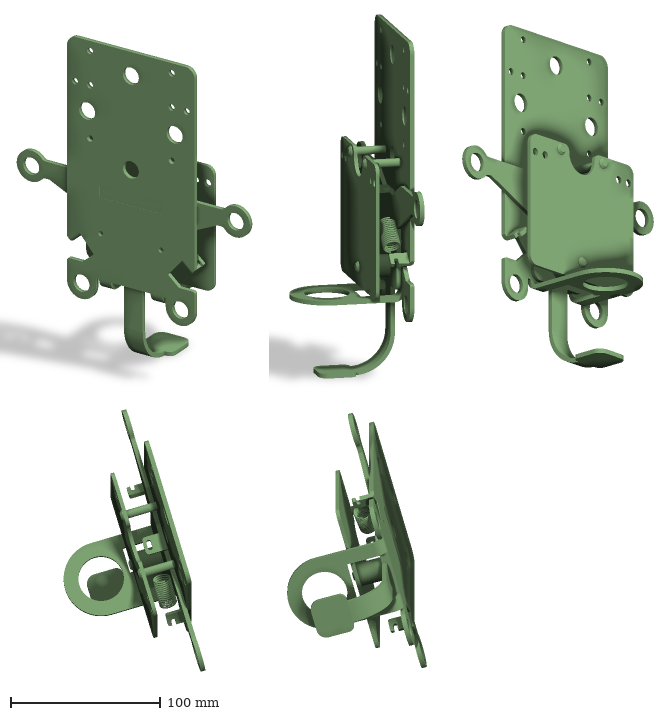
import cadquery as cq
import math

total_height = 235
sheet = 3.0
overlap = 0.2
fold_radius = sheet - overlap

plate_half_width = 50.8
plate_bottom = 60.0
plate_corner_radius = 7.5
eye_radius = 11.5
mount_hole_radius = 6.3
foot_eye_x = plate_half_width - eye_radius
foot_eye_z = 53.5
hole_pattern_z = 182.5
hole_pattern_radius = 34.8
screw_hole_radius = 2.4
screw_holes = [(32.5, 227.5), (32.5, 202.2), (44.5, 202.2), (32.5, 162.7)]
pilot_hole_radius = 1.9
pilot_hole_x = 24.0
pilot_hole_z = 94.3
label_width, label_height, label_z = 50.3, 9.0, 125.5
label_depth = 0.12
label_corner_radius = 0.7

bracket_half_width = 25.2
bracket_bottom = 52.7
bracket_end = 73.3
ring_hole_radius = 15.3
window_half_width = 15.7
window_end = 28.5

tab_angle = 41
tab_length = 10.5
tab_inset = 1.6
tab_fold_width = 4.7
tab_inner_x, tab_inner_z = 39.5, 89.0
tab_corner_radius = 1.2
tab_depth = 15.7
tab_slot_depth_position = 11.8
tab_slot_radius = 1.5
tab_slot_length = 4.7
relief_length = 20.0
relief_bottom = 69.8
relief_edge_radius = 1.9

arm_eye_x = 185.5 / 2 - eye_radius
arm_eye_z = 128.5
arm_top = 135.0
arm_bottom = 122.2
arm_slope = 0.467
arm_top_bend_x = 36.7
arm_bottom_bend_x = 66.8
arm_centre_x = 12.5
arm_eye_fillet = 3.5
body_half_width = 25.2
body_corner_radius = 7.0
tongue_half_width = 7.5
hook_radius = 28.0
foot_half_width = 13.5
foot_start, foot_end = 30.3, 55.7
foot_rear_radius, foot_front_radius = 6.5, 4.5

lip_half_width = 6.0
lip_top = 127.0
lip_end = 18.0
lip_corner_radius = 2.0
lip_slot_length, lip_slot_width = 7.0, 3.3
lip_slot_position = 14.3

rear_thickness = 2.5
rear_corner_radius = 6.3
rear_start = 24.0
rear_bottom, rear_top = 60.0, 152.5
rear_notch_radius = 12.5
rear_notch_z = 147.5
rear_notch_fillet = 4.7
rear_hole_radius = 2.5
rear_holes = [(36.2, 139.9), (45.8, 139.9)]
pin_x, pin_z, pin_radius = 20.7, 147.6, 2.8
boss_z, boss_radius = 72.6, 7.8
rivet_radius, rivet_height, rivet_edge = 3.8, 1.9, 1.5

spring_radius = 5.52
wire_radius = 0.59
spring_pitch = 1.53
spring_length = 20.7
spring_angle = 40
spring_x, spring_z = -28.2, 99.7

middle_front = sheet
middle_rear = 2 * sheet


def front_plane(depth):
    """Workplane with local X, Y along the part's X, Z; a negative extrude goes rearwards."""
    return cq.Workplane("XZ", origin=(0, depth, 0))


def disc(x, z, radius, start, end):
    return front_plane(start).center(x, z).circle(radius).extrude(start - end)


def box(x_range, y_range, z_range):
    lows, highs = zip(x_range, y_range, z_range)
    size = [high - low for low, high in zip(lows, highs)]
    return cq.Workplane("XY").box(*size, centered=False).translate(lows)


def both_sides(solid):
    return solid.union(solid.mirror("YZ"))


def edges_near(x, z):
    """Selector for the edges through (x, z) and its mirror point."""
    boxes = [
        cq.selectors.BoxSelector((side * x - overlap, 0, z - overlap),
                                 (side * x + overlap, bracket_end, z + overlap))
        for side in (-1, 1)
    ]
    return boxes[0] + boxes[1]


def make_relief():
    """Cut-out below the left spring tab, open to the plate's side."""
    angle = math.radians(tab_angle)
    along = (math.cos(angle), math.sin(angle))
    away = (math.sin(angle), -math.cos(angle))
    inner = (-tab_inner_x - tab_fold_width * away[0], tab_inner_z - tab_fold_width * away[1])
    outer = (inner[0] - tab_length * along[0], inner[1] - tab_length * along[1])
    far = (inner[0] + relief_length * away[0], inner[1] + relief_length * away[1])
    drop = far[1] - relief_bottom
    floor = (far[0] - drop / math.tan(angle), relief_bottom)
    outside = -plate_half_width - overlap
    outline = [inner, far, floor, (outside, relief_bottom), (outside, outer[1]), outer]
    return front_plane(0).polyline(outline).close().extrude(-sheet)


def make_spring_tab():
    """Left spring tab: folded edge at the front, slot open at its outer end."""
    tab = (
        cq.Workplane("XY")
        .box(tab_length, tab_depth, sheet, centered=False)
        .edges("|X and <Y and <Z").fillet(fold_radius)
    )
    inner_step = cq.Workplane("XY").box(tab_inset, tab_depth, sheet, centered=False)
    fold_fill = cq.Workplane("XY").box(tab_length, sheet, tab_fold_width - sheet, centered=False)
    tab = tab.cut(inner_step.translate((tab_length - tab_inset, sheet, 0)))
    tab = tab.union(fold_fill.translate((0, 0, sheet)))
    tab = tab.edges("|Z and >Y").fillet(tab_corner_radius)
    slot = (
        cq.Workplane("XY", origin=(0, tab_slot_depth_position, 0))
        .slot2D(2 * tab_slot_length, 2 * tab_slot_radius)
        .extrude(sheet)
    )
    return (
        tab.cut(slot)
        .translate((-tab_length, 0, 0))
        .rotate((0, 0, 0), (0, 1, 0), -tab_angle)
        .translate((-tab_inner_x, 0, tab_inner_z))
    )


def make_front_plate():
    plate = (
        box((-plate_half_width, plate_half_width), (0, sheet), (plate_bottom, total_height))
        .edges("|Y and >Z").fillet(plate_corner_radius)
    )
    lug = disc(-foot_eye_x, foot_eye_z, eye_radius, 0, sheet).union(
        box((-plate_half_width, -foot_eye_x + eye_radius), (0, sheet), (foot_eye_z, plate_bottom + sheet)))
    plate = plate.union(both_sides(lug)).cut(both_sides(make_relief()))
    plate = plate.edges(edges_near(plate_half_width, relief_bottom)).fillet(relief_edge_radius)
    plate = plate.union(both_sides(make_spring_tab()))
    large_holes = [(-foot_eye_x, foot_eye_z), (foot_eye_x, foot_eye_z)]
    for quarter in range(4):
        angle = quarter * math.pi / 2
        large_holes.append((hole_pattern_radius * math.cos(angle),
                            hole_pattern_z + hole_pattern_radius * math.sin(angle)))
    for x, z in large_holes:
        plate = plate.cut(disc(x, z, mount_hole_radius, 0, sheet))
    for x, z in screw_holes:
        plate = plate.cut(both_sides(disc(x, z, screw_hole_radius, 0, sheet)))
    plate = plate.cut(both_sides(disc(pilot_hole_x, pilot_hole_z, pilot_hole_radius, 0, sheet)))
    label = front_plane(0).center(0, label_z).rect(label_width, label_height).extrude(-label_depth)
    return plate.cut(label.edges("|Y").fillet(label_corner_radius))


def make_middle_sheet():
    """Arms sloping down to a straight body, with an eye at each arm's end."""
    top_middle = arm_top - arm_slope * (arm_top_bend_x - arm_centre_x)
    bottom_middle = arm_bottom - arm_slope * (arm_bottom_bend_x - body_half_width)
    right_side = [
        (arm_centre_x, top_middle), (arm_top_bend_x, arm_top), (arm_eye_x, arm_top),
        (arm_eye_x, arm_bottom), (arm_bottom_bend_x, arm_bottom),
        (body_half_width, bottom_middle), (body_half_width, plate_bottom),
    ]
    left_side = [(-x, z) for x, z in reversed(right_side)]
    body = front_plane(middle_front).polyline(right_side + left_side).close().extrude(-sheet)
    body = body.edges(edges_near(body_half_width, plate_bottom)).fillet(body_corner_radius)
    body = body.union(both_sides(disc(arm_eye_x, arm_eye_z, eye_radius, middle_front, middle_rear)))
    for arm_edge in (arm_top, arm_bottom):
        reach = math.sqrt(eye_radius ** 2 - (arm_edge - arm_eye_z) ** 2)
        body = body.edges(edges_near(arm_eye_x - reach, arm_edge)).fillet(arm_eye_fillet)
    return body.cut(both_sides(disc(arm_eye_x, arm_eye_z, mount_hole_radius, middle_front, middle_rear)))


def make_lip():
    """Slotted lip folded rearwards from the top of the middle sheet."""
    lip = (
        box((-lip_half_width, lip_half_width), (middle_front, lip_end), (lip_top - sheet, lip_top))
        .edges("|Z and >Y").fillet(lip_corner_radius)
    )
    lip = lip.union(box((-lip_half_width, lip_half_width), (middle_front, middle_rear),
                        (lip_top - 2 * sheet, lip_top)))
    lip = lip.edges("|X and <Y and >Z").fillet(fold_radius)
    slot = (
        cq.Workplane("XY", origin=(0, lip_slot_position, lip_top - sheet))
        .slot2D(lip_slot_length, lip_slot_width)
        .extrude(sheet)
    )
    return lip.cut(slot)


def make_bend(half_width, front, radius, bottom):
    """Quarter bend from an upright sheet's front face into a flat whose underside is at bottom."""
    inner = radius - sheet
    centre_y, centre_z = front + radius, bottom + radius
    diagonal = math.sqrt(0.5)
    return (
        cq.Workplane("YZ", origin=(-half_width, 0, 0))
        .moveTo(front, centre_z)
        .threePointArc((centre_y - radius * diagonal, centre_z - radius * diagonal), (centre_y, bottom))
        .lineTo(centre_y, bottom + sheet)
        .threePointArc((centre_y - inner * diagonal, centre_z - inner * diagonal), (front + sheet, centre_z))
        .close()
        .extrude(2 * half_width)
    )


def make_bracket():
    """Flat eye on two legs that curve out of the front plate."""
    bend_radius = plate_bottom - bracket_bottom
    eye_centre = bracket_end - bracket_half_width
    eye = cq.Workplane("XY", origin=(0, eye_centre, bracket_bottom))
    bracket = box((-bracket_half_width, bracket_half_width), (bend_radius, eye_centre),
                  (bracket_bottom, bracket_bottom + sheet))
    bracket = bracket.union(eye.circle(bracket_half_width).extrude(sheet))
    bracket = bracket.cut(eye.circle(ring_hole_radius).extrude(sheet))
    bracket = bracket.union(make_bend(bracket_half_width, 0, bend_radius, bracket_bottom))
    window = box((-window_half_width, window_half_width), (0, window_end), (bracket_bottom, plate_bottom))
    return bracket.cut(window)


def make_hook():
    """Tongue hanging below the middle sheet, curving rearwards into a wider foot."""
    tongue = box((-tongue_half_width, tongue_half_width), (middle_front, middle_rear),
                 (hook_radius, plate_bottom + sheet))
    foot = (
        box((-foot_half_width, foot_half_width), (foot_start, foot_end), (0, sheet))
        .edges("|Z and >Y").fillet(foot_rear_radius)
        .edges("|Z and <Y").fillet(foot_front_radius)
    )
    return tongue.union(make_bend(tongue_half_width, middle_front, hook_radius, 0)).union(foot)


def make_rear_plate():
    rear_end = rear_start + rear_thickness
    plate = (
        box((-plate_half_width, plate_half_width), (rear_start, rear_end), (rear_bottom, rear_top))
        .edges("|Y").fillet(rear_corner_radius)
    )
    plate = plate.cut(disc(0, rear_notch_z, rear_notch_radius, rear_start, rear_end))
    plate = plate.cut(box((-rear_notch_radius, rear_notch_radius), (rear_start, rear_end),
                          (rear_notch_z, rear_top)))
    plate = plate.edges(edges_near(rear_notch_radius, rear_top)).fillet(rear_notch_fillet)
    for x, z in rear_holes:
        plate = plate.cut(both_sides(disc(x, z, rear_hole_radius, rear_start, rear_end)))
    pin = disc(pin_x, pin_z, pin_radius, sheet - overlap, rear_end)
    boss = disc(0, boss_z, boss_radius, middle_rear - overlap, rear_start + overlap)
    plate = plate.union(both_sides(pin)).union(boss)
    for x, z in [(-pin_x, pin_z), (pin_x, pin_z), (0, boss_z)]:
        head = disc(x, z, rivet_radius, rear_end - overlap, rear_end + rivet_height)
        plate = plate.union(head.faces(">Y").chamfer(rivet_edge))
    return plate


def make_spring():
    """Coil resting on the rear face of the middle sheet."""
    helix = cq.Wire.makeHelix(spring_pitch, spring_length, spring_radius)
    coil = (
        cq.Workplane("XZ", origin=(spring_radius, 0, 0))
        .circle(wire_radius)
        .sweep(cq.Workplane(helix), isFrenet=True)
    )
    depth = middle_rear + spring_radius + wire_radius - overlap
    return (
        coil.translate((0, 0, -spring_length / 2))
        .rotate((0, 0, 0), (0, 1, 0), 90 - spring_angle)
        .translate((spring_x, depth, spring_z))
    )


result = make_front_plate()
for component in [make_bracket(), make_middle_sheet(), make_lip(), make_hook(),
                  make_rear_plate(), make_spring()]:
    result = result.union(component)